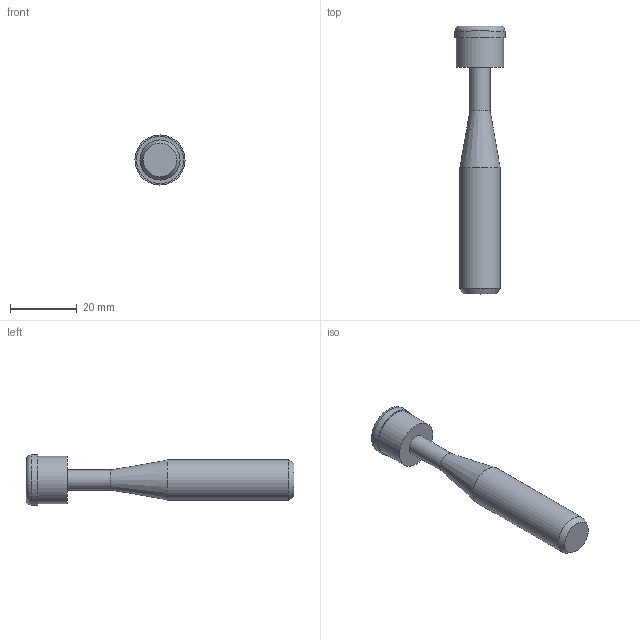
import cadquery as cq
import math

total_length = 80.3

handle_diameter = 12.0
tip_diameter = 10.0
tip_chamfer_angle = 30.0
stem_diameter = 6.0
stem_length = 13.0
taper_length = 17.0

cap_diameter = 14.2
cap_length = 12.3
collar_diameter = 15.0
collar_length = 3.5
collar_rounding = 1.5

tip_chamfer_step = (handle_diameter - tip_diameter) / 2
tip_chamfer_length = tip_chamfer_step / math.tan(math.radians(tip_chamfer_angle))

cap_start = total_length - cap_length
collar_start = total_length - collar_length
taper_end = cap_start - stem_length
taper_start = taper_end - taper_length


def make_handle():
    """Chamfered handle, taper and thin stem reaching into the cap."""
    profile = (
        cq.Workplane("XY")
        .lineTo(tip_diameter / 2, 0)
        .lineTo(handle_diameter / 2, tip_chamfer_length)
        .lineTo(handle_diameter / 2, taper_start)
        .lineTo(stem_diameter / 2, taper_end)
        .lineTo(stem_diameter / 2, collar_start)
        .lineTo(0, collar_start)
        .close()
    )
    return profile.revolve(360, (0, 0, 0), (0, 1, 0))


def cylinder_along_y(diameter, start, length):
    """Cylinder on the Y axis, running toward +Y from the given station."""
    return cq.Workplane("XZ", origin=(0, start, 0)).circle(diameter / 2).extrude(-length)


def make_cap():
    """Plain cylindrical cap with a rounded collar at its end."""
    body = cylinder_along_y(cap_diameter, cap_start, cap_length - collar_length)
    collar = cylinder_along_y(collar_diameter, collar_start, collar_length)
    collar = collar.faces(">Y").edges().fillet(collar_rounding)
    return body.union(collar)


result = make_handle().union(make_cap())